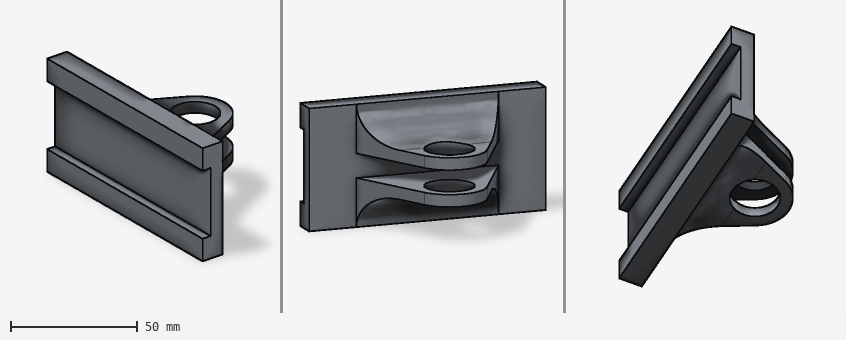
import cadquery as cq
import math

plate_length = 100.0
plate_thickness = 10.0
plate_height = 50.0
groove_height = 30.0
groove_depth = 4.0

lug_gap = 10.0
lug_thickness = 5.0
lug_root_width = 60.0
eye_radius = 15.0
hole_radius = 10.0
eye_offset = 25.0
eye_x = 0.2
flare_length = 20.0

eye_y = plate_thickness + eye_offset
tip_y = eye_y + eye_radius
lug_inner_z = lug_gap / 2
lug_outer_z = lug_inner_z + lug_thickness
plate_top_z = plate_height / 2
flare_height = plate_top_z - lug_outer_z
flare_end_y = plate_thickness + flare_length


def make_plate():
    plate = cq.Workplane("XY").box(
        plate_length, plate_thickness, plate_height, centered=(True, False, True)
    )
    groove = cq.Workplane("XY").box(
        plate_length, groove_depth, groove_height, centered=(True, False, True)
    )
    return plate.cut(groove)


def eye_tangent_point(side):
    """Point where the straight side from the root touches the eye; side is -1 or +1 along X."""
    half_width = lug_root_width / 2 - side * eye_x
    root_distance = math.hypot(half_width, eye_offset)
    root_angle = math.atan2(-eye_offset, half_width)
    tangent_angle = root_angle + math.acos(eye_radius / root_distance)
    x = eye_x + side * eye_radius * math.cos(tangent_angle)
    y = eye_y + eye_radius * math.sin(tangent_angle)
    return (x, y)


def make_lug_outline():
    """Tapered outline whose straight sides run tangent into the round eye."""
    half_root = lug_root_width / 2
    return (
        cq.Workplane("XY")
        .moveTo(-half_root, plate_thickness)
        .lineTo(half_root, plate_thickness)
        .lineTo(*eye_tangent_point(1))
        .threePointArc((eye_x, tip_y), eye_tangent_point(-1))
        .close()
        .extrude(plate_top_z)
    )


def make_upper_lug():
    """Flat lug that flares up to the plate edge along a quarter ellipse."""
    side_profile = (
        cq.Workplane("YZ", origin=(-lug_root_width / 2, 0, 0))
        .moveTo(plate_thickness, lug_inner_z)
        .lineTo(tip_y, lug_inner_z)
        .lineTo(tip_y, lug_outer_z)
        .lineTo(flare_end_y, lug_outer_z)
        .ellipseArc(
            flare_length, flare_height, 180, 270, startAtCurrent=True, sense=-1
        )
        .close()
        .extrude(lug_root_width)
    )
    hole = cq.Workplane("XY").center(eye_x, eye_y).circle(hole_radius).extrude(plate_top_z)
    return make_lug_outline().intersect(side_profile).cut(hole)


upper_lug = make_upper_lug()
lower_lug = upper_lug.mirror("XY")
result = make_plate().union(upper_lug).union(lower_lug)